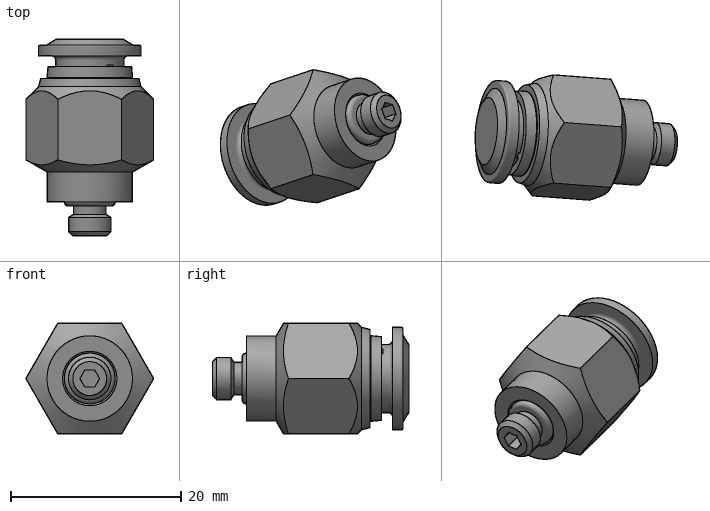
import cadquery as cq
import math

overall_length = 23.1

stud_radius = 2.5
stud_tip_chamfer = 0.5
stud_length = 2.17
neck_radius = 1.92
neck_start = 2.55
seal_start = 3.49
seal_radius = 2.98
seal_tip_radius = 2.5
seal_round_length = seal_radius - seal_tip_radius

body_front = 4.0
body_radius = 5.01
countersink_radius = 3.19
countersink_depth = 0.23
hex_across_flats = 13.0
hex_corner_radius = hex_across_flats / math.sqrt(3)
front_cone_start = 7.48
front_cone_angle = math.radians(30)
front_corner = front_cone_start + (hex_corner_radius - body_radius) * math.tan(front_cone_angle)
shoulder_start = 17.5
shoulder_radius = 6.03
shoulder_end = 18.5
shoulder_end_radius = 5.78
rear_corner = shoulder_start - (hex_corner_radius - shoulder_radius)

guide_radius = 5.04
guide_end_radius = 4.92
guide_chamfer_length = 0.12
guide_chamfer = 0.07
guide_end = 19.87
sleeve_radius = 4.02
flange_start = 21.14
flange_radius = 6.03
flange_end = 22.38
flange_round = 0.2
under_flange_round = 0.5
button_cone_radius = 5.08
button_end_radius = 3.95

socket_across_flats = 2.0
socket_depth = 2.3

notch_width = 0.83
notch_height = 0.18
notch_depth = 0.58
notch_angle = 53.5


def hex_prism(across_flats, start, length):
    """Hexagonal bar along +Y with two corners on the X axis."""
    corner_diameter = 2 * across_flats / math.sqrt(3)
    plane = cq.Workplane("XZ", origin=(0, start, 0))
    return plane.polygon(6, corner_diameter).extrude(-length)


def revolved_blank():
    """Turned shape of the whole fitting, before the hexagon flats are cut."""
    diagonal = math.sqrt(0.5)
    seal_mid_radius = seal_tip_radius + (seal_radius - seal_tip_radius) * diagonal
    seal_mid = seal_start + seal_round_length * (1 - diagonal)
    under_round_mid_radius = sleeve_radius + under_flange_round * (1 - diagonal)
    under_round_mid = flange_start - under_flange_round * (1 - diagonal)
    flange_mid_radius = flange_radius - flange_round * (1 - diagonal)
    flange_mid = flange_end - flange_round * (1 - diagonal)

    outline = (
        cq.Workplane("XY")
        .moveTo(0, 0)
        .lineTo(stud_radius - stud_tip_chamfer, 0)
        .lineTo(stud_radius, stud_tip_chamfer)
        .lineTo(stud_radius, stud_length)
        .lineTo(neck_radius, neck_start)
        .lineTo(neck_radius, seal_start)
        .lineTo(seal_tip_radius, seal_start)
        .threePointArc((seal_mid_radius, seal_mid), (seal_radius, seal_start + seal_round_length))
        .lineTo(seal_radius, body_front + countersink_depth)
        .lineTo(countersink_radius, body_front)
        .lineTo(body_radius, body_front)
        .lineTo(body_radius, front_cone_start)
        .lineTo(hex_corner_radius, front_corner)
        .lineTo(hex_corner_radius, rear_corner)
        .lineTo(shoulder_radius, shoulder_start)
        .lineTo(shoulder_end_radius, shoulder_end)
        .lineTo(guide_radius - guide_chamfer, shoulder_end)
        .lineTo(guide_radius, shoulder_end + guide_chamfer_length)
        .lineTo(guide_end_radius, guide_end)
        .lineTo(sleeve_radius, guide_end)
        .lineTo(sleeve_radius, flange_start - under_flange_round)
        .threePointArc(
            (under_round_mid_radius, under_round_mid),
            (sleeve_radius + under_flange_round, flange_start),
        )
        .lineTo(flange_radius, flange_start)
        .lineTo(flange_radius, flange_end - flange_round)
        .threePointArc((flange_mid_radius, flange_mid), (flange_radius - flange_round, flange_end))
        .lineTo(button_cone_radius, flange_end)
        .lineTo(button_end_radius, overall_length)
        .lineTo(0, overall_length)
        .close()
    )
    return outline.revolve(360, (0, 0, 0), (0, 1, 0))


def hexagon_trim():
    """Material outside the hexagon, over the stretch that carries the flats."""
    length = shoulder_start - front_cone_start
    plane = cq.Workplane("XZ", origin=(0, front_cone_start, 0))
    surround = plane.circle(2 * hex_corner_radius).extrude(-length)
    return surround.cut(hex_prism(hex_across_flats, front_cone_start, length))


def sleeve_notch(angle):
    """Small block cutting into the sleeve at an angle from X about the Y axis."""
    return (
        cq.Workplane("XY")
        .box(2 * notch_depth, notch_height, notch_width)
        .translate((sleeve_radius, guide_end + notch_height / 2, 0))
        .rotate((0, 0, 0), (0, 1, 0), -angle)
    )


result = revolved_blank().cut(hexagon_trim())
result = result.cut(hex_prism(socket_across_flats, 0, socket_depth))
for turn in (0, 180):
    result = result.cut(sleeve_notch(notch_angle + turn))